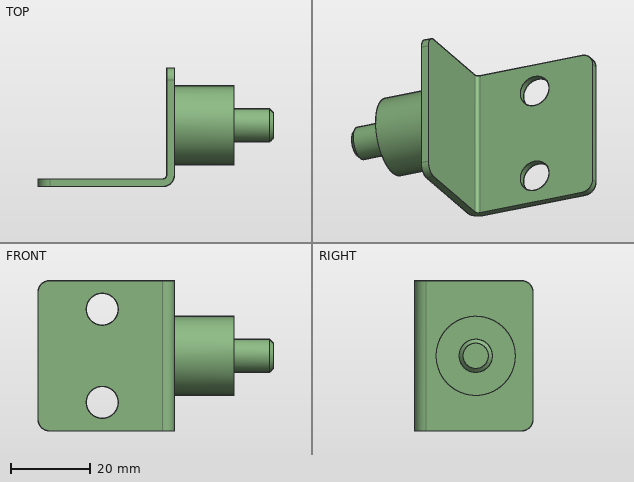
import cadquery as cq

thickness = 2.0
height = 38.0
mount_length = 34.5
carrier_length = 30.0
bend_inner_radius = 1.0
bend_outer_radius = bend_inner_radius + thickness
corner_radius = 3.0

hole_diameter = 8.0
hole_spacing = 23.5
hole_x = 16.25

boss_diameter = 20.0
boss_length = 15.0
boss_y = 15.5
pin_diameter = 8.4
pin_length = 10.0
pin_chamfer = 1.0


def make_bracket():
    """L-shaped bracket with a rounded bend and rounded free corners."""
    inner_x = mount_length - thickness
    profile = (
        cq.Workplane("XY")
        .polyline([
            (0, 0),
            (mount_length, 0),
            (mount_length, carrier_length),
            (inner_x, carrier_length),
            (inner_x, thickness),
            (0, thickness),
        ])
        .close()
    )
    bracket = profile.extrude(height / 2, both=True)
    outer_bend = cq.NearestToPointSelector((mount_length, 0, 0))
    inner_bend = cq.NearestToPointSelector((inner_x, thickness, 0))
    bracket = bracket.edges("|Z").edges(outer_bend).fillet(bend_outer_radius)
    bracket = bracket.edges("|Z").edges(inner_bend).fillet(bend_inner_radius)
    bracket = bracket.faces("<X").edges("|Y").fillet(corner_radius)
    return bracket.faces(">Y").edges("|X").fillet(corner_radius)


def make_mounting_holes():
    """Cutters for the two holes through the mounting flange."""
    return (
        cq.Workplane("XZ")
        .pushPoints([(hole_x, side * hole_spacing / 2) for side in (-1, 1)])
        .circle(hole_diameter / 2)
        .extrude(-thickness)
    )


def make_boss_and_pin():
    """Boss on the outer face of the carrier flange, with the pin at its end."""
    boss_base = cq.Workplane("YZ", origin=(mount_length, boss_y, 0))
    boss = boss_base.circle(boss_diameter / 2).extrude(boss_length)
    pin = (
        boss_base.workplane(offset=boss_length)
        .circle(pin_diameter / 2)
        .extrude(pin_length)
        .faces(">X")
        .chamfer(pin_chamfer)
    )
    return boss.union(pin)


result = make_bracket().cut(make_mounting_holes()).union(make_boss_and_pin())